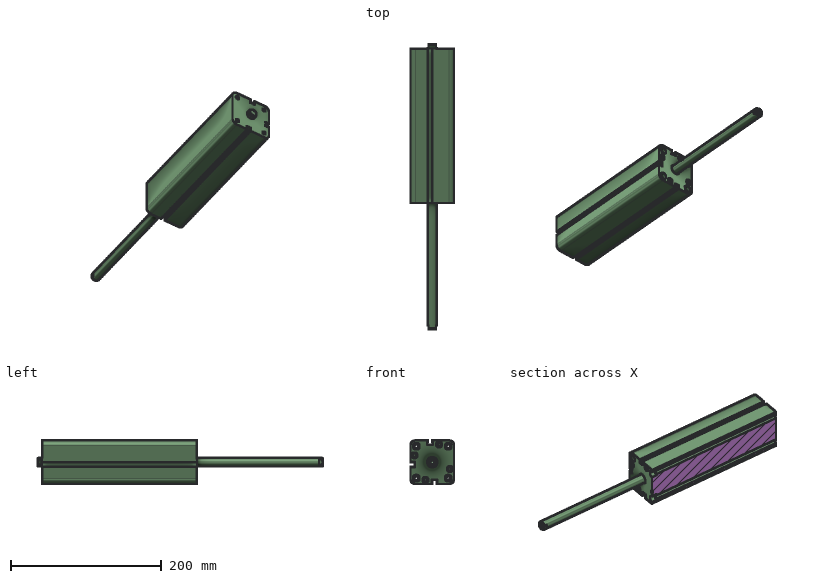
import cadquery as cq
import math

total_length = 378.5
body_length = 205.0
rear_stub_length = 6.0
rear_face_y = total_length / 2 - rear_stub_length
front_face_y = rear_face_y - body_length
rod_tip_y = -total_length / 2

body_width = 58.3
corner_radius = 7.2

slot_offset = 3.0
slot_neck_width = 5.5
slot_head_width = 7.2
slot_neck_depth = 2.5
slot_depth = 5.5
slot_side_angles = (0, 90, 180)

mount_offset = 21.2
mount_hole_diameter = 5.0
mount_bore_diameter = 9.0
mount_bore_depth = 7.5

screw_along_side = 9.0
screw_from_centre = 23.5
screw_pocket_diameter = 8.0
screw_pocket_depth = 0.5
socket_side = 4.5
socket_diagonal = socket_side * math.sqrt(2)
socket_depth = 1.0

rod_diameter = 12.0
rod_chamfer_length = 1.5
rod_chamfer_radial = 1.0
rod_bore_diameter = 5.0
rod_bore_depth = 15.0
bore_mouth_diameter = 6.5
drill_point_angle = 118.0
bearing_recess_diameter = 13.5
bearing_recess_depth = 3.8

flat_spacing = 10.2
flat_length = 5.0


def front_plane(y):
    """Sketch plane at position y: local x is +X, local y is +Z, normal is -Y."""
    return cq.Workplane("XZ", origin=(0, y, 0))


def turn_about_rod(shape, angle):
    """Turn a shape about the rod axis; positive carries +Z towards -X."""
    return shape.rotate((0, 0, 0), (0, -1, 0), angle)


def make_body():
    blank = front_plane(rear_face_y).rect(body_width, body_width).extrude(body_length)
    return blank.edges("|Y").fillet(corner_radius)


def make_slot():
    """T-slot cutter for the top side, running the whole body length."""
    top = body_width / 2
    neck = (
        front_plane(rear_face_y)
        .center(-slot_offset, top - slot_neck_depth / 2)
        .rect(slot_neck_width, slot_neck_depth)
        .extrude(body_length)
    )
    head_depth = slot_depth - slot_neck_depth
    head = (
        front_plane(rear_face_y)
        .center(-slot_offset, top - slot_neck_depth - head_depth / 2)
        .rect(slot_head_width, head_depth)
        .extrude(body_length)
    )
    return neck.union(head)


def make_mount_holes():
    spacing = 2 * mount_offset
    holes = (
        front_plane(rear_face_y)
        .rect(spacing, spacing, forConstruction=True)
        .vertices()
        .circle(mount_hole_diameter / 2)
        .extrude(body_length)
    )
    bores = (
        front_plane(front_face_y + mount_bore_depth)
        .rect(spacing, spacing, forConstruction=True)
        .vertices()
        .circle(mount_bore_diameter / 2)
        .extrude(mount_bore_depth)
    )
    return holes.union(bores)


def make_screw_pocket():
    """Pocket over the screw beside the top slot, with the square socket in its head.

    The socket stands on its corner, pointing along X and Z.
    """
    pocket = (
        front_plane(front_face_y + screw_pocket_depth)
        .center(screw_along_side, screw_from_centre)
        .circle(screw_pocket_diameter / 2)
        .extrude(screw_pocket_depth)
    )
    socket = (
        front_plane(front_face_y + screw_pocket_depth + socket_depth)
        .center(screw_along_side, screw_from_centre)
        .polygon(4, socket_diagonal)
        .extrude(socket_depth)
    )
    return pocket.union(socket)


def make_rod():
    """Rod from the rear stub to the tip, revolved about Y, both ends chamfered."""
    radius = rod_diameter / 2
    end_radius = radius - rod_chamfer_radial
    rear_y = total_length / 2
    outline = [
        (0, rod_tip_y),
        (end_radius, rod_tip_y),
        (radius, rod_tip_y + rod_chamfer_length),
        (radius, rear_y - rod_chamfer_length),
        (end_radius, rear_y),
        (0, rear_y),
    ]
    rod = cq.Workplane("XY").polyline(outline).close().revolve(360, (0, 0), (0, 1))
    for end_y, inward in ((rod_tip_y, 1), (rear_y, -1)):
        for side in (-1, 1):
            cutter = cq.Workplane("XY").box(rod_diameter, flat_length, rod_diameter)
            cutter_x = side * (flat_spacing + rod_diameter) / 2
            cutter_y = end_y + inward * flat_length / 2
            rod = rod.cut(cutter.translate((cutter_x, cutter_y, 0)))
    return rod


def make_rod_bore():
    """Drilled hole in the rod tip with a conical bottom and a 45 degree countersunk mouth."""
    radius = rod_bore_diameter / 2
    cone_height = radius / math.tan(math.radians(drill_point_angle / 2))
    mouth_radius = bore_mouth_diameter / 2
    outline = [
        (0, rod_tip_y),
        (mouth_radius, rod_tip_y),
        (radius, rod_tip_y + mouth_radius - radius),
        (radius, rod_tip_y + rod_bore_depth),
        (0, rod_tip_y + rod_bore_depth + cone_height),
    ]
    return cq.Workplane("XY").polyline(outline).close().revolve(360, (0, 0), (0, 1))


body = make_body()
for angle in slot_side_angles:
    body = body.cut(turn_about_rod(make_slot(), angle))
body = body.cut(make_mount_holes())
for quarter_turn in range(4):
    body = body.cut(turn_about_rod(make_screw_pocket(), 90 * quarter_turn))

bearing_recess = (
    front_plane(front_face_y + bearing_recess_depth)
    .circle(bearing_recess_diameter / 2)
    .extrude(bearing_recess_depth)
)

result = body.cut(bearing_recess).union(make_rod()).cut(make_rod_bore())